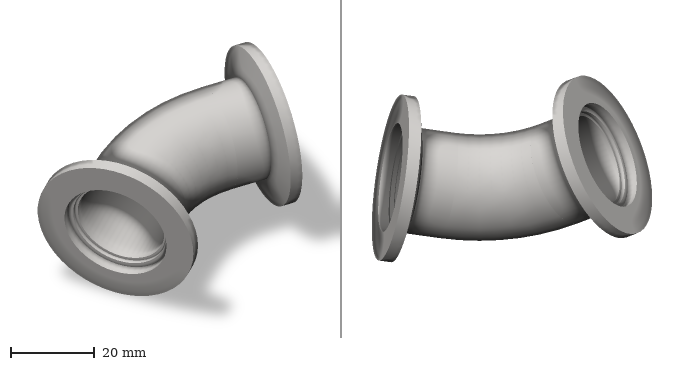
import cadquery as cq
import math

BEND_ANGLE = 45.0
OVERALL_LENGTH = 62.7
FLANGE_LENGTH = 13.65

RIM_DIAMETER = 40.0
RIM_THICKNESS = 3.0
CONE_ANGLE = 15.0
NECK_DIAMETER = 25.4
BORE_DIAMETER = 22.2
RECESS_DIAMETER = 26.2
RECESS_DEPTH = 2.6
STEP_DIAMETER = 23.75
STEP_DEPTH = 1.0

bend_sine = math.sin(math.radians(BEND_ANGLE))
bend_cosine = math.cos(math.radians(BEND_ANGLE))
face_to_corner = (OVERALL_LENGTH - RIM_DIAMETER / 2 * bend_sine) / (1 + bend_cosine)
bend_radius = (face_to_corner - FLANGE_LENGTH) / math.tan(math.radians(BEND_ANGLE / 2))
cone_length = (RIM_DIAMETER - NECK_DIAMETER) / 2 * math.tan(math.radians(CONE_ANGLE))
bend_start = (0, FLANGE_LENGTH, 0)
outlet_x = face_to_corner * bend_sine
outlet_y = face_to_corner * (1 + bend_cosine)


def make_flange():
    """Flange around the Y axis, sealing face at Y = 0 and neck towards +Y."""
    step_floor = RECESS_DEPTH + STEP_DEPTH
    half_section = [
        (RECESS_DIAMETER / 2, 0),
        (RIM_DIAMETER / 2, 0),
        (RIM_DIAMETER / 2, RIM_THICKNESS),
        (NECK_DIAMETER / 2, RIM_THICKNESS + cone_length),
        (NECK_DIAMETER / 2, FLANGE_LENGTH),
        (BORE_DIAMETER / 2, FLANGE_LENGTH),
        (BORE_DIAMETER / 2, step_floor),
        (STEP_DIAMETER / 2, step_floor),
        (STEP_DIAMETER / 2, RECESS_DEPTH),
        (RECESS_DIAMETER / 2, RECESS_DEPTH),
    ]
    return cq.Workplane("XY").polyline(half_section).close().revolve(360, (0, 0, 0), (0, 1, 0))


def make_elbow():
    """Bent tube between the two flange necks, curving from +Y towards +X."""
    return (
        cq.Workplane("XZ", origin=bend_start)
        .circle(NECK_DIAMETER / 2)
        .circle(BORE_DIAMETER / 2)
        .revolve(BEND_ANGLE, (bend_radius, 0, 0), (bend_radius, -1, 0))
    )


flange_placements = [
    (0, (0, 0, 0)),
    (180 - BEND_ANGLE, (outlet_x, outlet_y, 0)),
]
flanges = [
    make_flange().rotate((0, 0, 0), (0, 0, 1), turn).translate(place)
    for turn, place in flange_placements
]
elbow = make_elbow()

result = cq.Compound.makeCompound([elbow.val(), *[flange.val() for flange in flanges]])